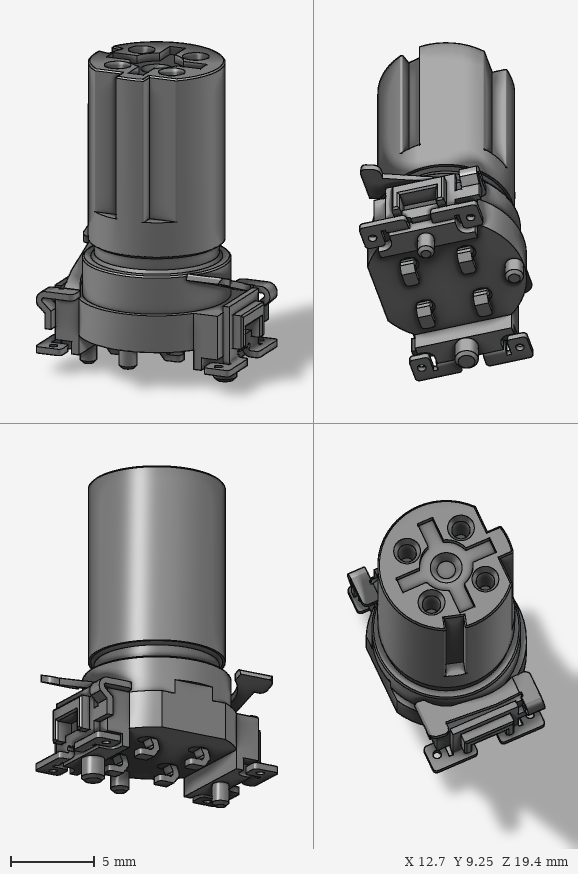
import cadquery as cq
import math

body_d = 8.2
neck_d = 7.5
ring_d = 8.9
base_d = 9.6
base_bottom = 1.2
base_top = 3.5
ring_top = 5.85
body_bottom = 6.95
body_top = 18.0
neck_chamfer = 0.2
rim_chamfer = 0.1
rear_flat_y = 4.25
rear_flat_top = 4.35

slot_bottom = 9.1
front_slot_floor = 3.12
key_rib_width = 1.85
slot_edge_radius = 0.12
side_slot_floor = 3.3
side_slot_width = 1.15
side_slot_angle = 163.7
slot_core_r = 3.8

recess_depth = 0.5
recess_arm_length = 6.15
recess_arm_width = 1.0
recess_hub_d = 3.2
funnel_depth = 0.43
center_funnel_d = 1.9
pin_funnel_d = 1.6
hole_d = 1.1
contact_offset = 1.77

block_inner = 3.75
block_outer = 5.3
block_length = 6.0
block_overlap = 1.0
corner_notch_x = 1.05
corner_notch_y = 0.95
corner_notch_z = 0.78
corner_notch_radius = 0.6
peg_tip = -1.35
peg_chamfer = 0.2
peg_offset = 4.47
small_peg_d = 1.0
large_peg_d = 1.4
front_peg_d = 1.1
front_peg_y = -4.23
latch_outer = 6.35
latch_width = 3.25
latch_bottom = 1.18
latch_top = 3.27
latch_gap_width = 2.26
latch_gap_top = 2.43
latch_chamfer = 0.12

sheet = 0.4
plate_inner = block_outer
plate_outer = plate_inner + sheet
plate_half_y = 2.15
plate_top = base_top + sheet
window_floor = 1.57
tongue_half_y = latch_gap_width / 2
foot_outer = 6.35
foot_inner = 4.65
foot_end = 3.65
foot_pad_start = 2.42
foot_gap_half = 0.75
foot_gap_top = 0.7
foot_relief_r = 0.15
foot_bend_r = 0.1
foot_corner_r = 0.25
foot_hole_d = 0.5
foot_hole_x = 5.4
foot_hole_y = 3.05
bend_outer = plate_outer + foot_bend_r
bend_top = sheet + foot_bend_r
strap_y = 2.57
strap_bottom = 1.58
strap_link_top = 2.4
strap_tip_x = 3.85
strap_knee_outer_z = 2.55
strap_knee_inner_z = 2.72
curl_end_x = 5.75
strap_corner_r = 0.35
arm_slope = math.radians(19.6)
arm_end_y = 3.74
arm_tip_r = 0.15
arm_inner_x = 4.47
arm_outer_x = 5.33
head_inner_x = 3.6
head_outer_x = 6.03
head_start_y = 2.45
head_flare_y = 1.7
root_slit = 0.25
root_slit_depth = 0.12
root_x = 4.94

contact_top = 15.0
contact_root_top = 3.0
contact_flat_width = 0.86
foot_clearance = 0.07


def box(x0, x1, y0, y1, z0, z1):
    size = (x1 - x0, y1 - y0, z1 - z0)
    return cq.Workplane("XY").box(*size, centered=False).translate((x0, y0, z0))


def cylinder(diameter, z0, z1, x=0, y=0):
    return cq.Workplane("XY").circle(diameter / 2).extrude(z1 - z0).translate((x, y, z0))


def cone(d_bottom, d_top, z0, z1, x=0, y=0):
    solid = cq.Solid.makeCone(d_bottom / 2, d_top / 2, z1 - z0, pnt=cq.Vector(x, y, z0))
    return cq.Workplane(obj=solid)


contact_places = [
    (sx * contact_offset, sy * contact_offset) for sx in (-1, 1) for sy in (-1, 1)
]


def housing_base():
    base = cylinder(base_d, base_bottom, base_top)
    ring = cylinder(ring_d, base_top, ring_top).faces(">Z").chamfer(rim_chamfer)
    flat = box(-base_d, base_d, rear_flat_y, base_d, base_bottom, rear_flat_top)
    return base.union(ring).cut(flat)


def housing_neck():
    flare_d = neck_d + 2 * neck_chamfer
    lower = cone(flare_d, neck_d, ring_top, ring_top + neck_chamfer)
    upper = cone(neck_d, flare_d, body_bottom - neck_chamfer, body_bottom)
    return cylinder(neck_d, base_top, body_bottom).union(lower).union(upper)


def housing_body():
    body = cylinder(body_d, body_bottom, body_top)
    front_slots = box(-body_d, body_d, -body_d, -front_slot_floor, slot_bottom, body_top)
    key_rib = box(
        -key_rib_width / 2, key_rib_width / 2, -body_d, -front_slot_floor, slot_bottom, body_top
    )
    side_slot = box(
        side_slot_floor, body_d, -side_slot_width / 2, side_slot_width / 2, slot_bottom, body_top
    ).rotate((0, 0, 0), (0, 0, 1), side_slot_angle)
    body = body.cut(front_slots.cut(key_rib)).cut(side_slot)
    slot_edges = [
        edge for edge in body.edges("|Z").vals()
        if math.hypot(edge.Center().x, edge.Center().y) > slot_core_r
        and edge.Center().z > slot_bottom
    ]
    body = body.newObject(slot_edges).fillet(slot_edge_radius)
    return body.faces(">Z").chamfer(rim_chamfer)


def face_recess():
    floor = body_top - recess_depth
    long_half = recess_arm_length / 2
    short_half = recess_arm_width / 2
    recess = box(-long_half, long_half, -short_half, short_half, floor, body_top)
    recess = recess.union(box(-short_half, short_half, -long_half, long_half, floor, body_top))
    recess = recess.union(cylinder(recess_hub_d, floor, body_top))
    return recess.union(cone(hole_d, center_funnel_d, floor - funnel_depth, floor))


def pin_hole(x, y):
    funnel = cone(hole_d, pin_funnel_d, body_top - funnel_depth, body_top, x, y)
    return cylinder(hole_d, base_bottom, body_top, x, y).union(funnel)


def side_block():
    """Block on the -X side with notched lower corners."""
    half = block_length / 2
    block = box(-block_outer, -block_inner + block_overlap, -half, half, base_bottom, base_top)
    block = block.union(box(-block_outer, -block_inner, -half, half, 0, base_bottom))
    for side in (-1, 1):
        notch = box(
            -block_outer - corner_notch_x, -block_outer + corner_notch_x,
            half - corner_notch_y, half + corner_notch_y, 0, corner_notch_z,
        )
        notch = notch.edges("|Z and >X and <Y").fillet(corner_notch_radius)
        if side < 0:
            notch = notch.mirror("XZ")
        block = block.cut(notch)
    return block


def latch():
    """U-shaped catch that reaches through the clip's window on the -X side."""
    half = latch_width / 2
    catch = box(-latch_outer, -block_outer, -half, half, latch_bottom, latch_top)
    gap = box(
        -latch_outer, -block_outer, -latch_gap_width / 2, latch_gap_width / 2,
        latch_bottom, latch_gap_top,
    )
    return catch.cut(gap).faces("<X").edges().chamfer(latch_chamfer)


def peg(diameter, tip, root, x, y):
    return cylinder(diameter, tip, root, x, y).faces("<Z").chamfer(peg_chamfer)


def turned(shape):
    return shape.rotate((0, 0, 0), (0, 0, 1), 180)


def make_housing():
    housing = housing_base().union(housing_neck()).union(housing_body())
    side = side_block().union(latch())
    housing = housing.union(side).union(turned(side))
    housing = housing.union(peg(small_peg_d, peg_tip, 0, -peg_offset, 0))
    housing = housing.union(peg(large_peg_d, peg_tip, 0, peg_offset, 0))
    housing = housing.union(peg(front_peg_d, 0, base_bottom, 0, front_peg_y))
    housing = housing.cut(face_recess())
    for x, y in contact_places:
        housing = housing.cut(pin_hole(x, y))
    return housing


def clip_plate():
    plate = box(-plate_outer, -plate_inner, -plate_half_y, plate_half_y, bend_top, plate_top)
    link = box(-plate_outer, -plate_inner, -foot_end, 0, strap_bottom, strap_link_top)
    half = latch_width / 2
    window = box(-plate_outer, -plate_inner, -half, half, latch_bottom, latch_top)
    tongue = box(
        -plate_outer, -plate_inner, -tongue_half_y, tongue_half_y, latch_bottom, window_floor
    )
    return plate.union(link).cut(window).union(tongue)


def clip_foot():
    """Foot on the +Y half: strip outside the plate, widening to a drilled pad."""
    strip = box(-foot_outer, -bend_outer, foot_gap_half, foot_end, 0, sheet)
    pad = box(-foot_outer, -foot_inner, foot_pad_start, foot_end, 0, sheet)
    foot = strip.union(pad).edges("|Z").edges("<X or >X").fillet(foot_corner_r)
    return foot.cut(cylinder(foot_hole_d, 0, sheet, -foot_hole_x, foot_hole_y))


def foot_bend():
    """Quarter bend that leads from the feet up into the plate."""
    outer_r = foot_bend_r + sheet
    axis = cq.Workplane("XZ", origin=(-bend_outer, plate_half_y, bend_top))
    bend = axis.circle(outer_r).circle(foot_bend_r).extrude(2 * plate_half_y)
    return bend.intersect(
        box(-bend_outer, -plate_inner, -plate_half_y, plate_half_y, 0, bend_top)
    )


def foot_gap():
    """Opening between the two feet with round reliefs in its upper corners."""
    gap = box(-foot_outer, -plate_inner, -foot_gap_half, foot_gap_half, 0, foot_gap_top)
    for side in (-1, 1):
        relief = (
            cq.Workplane("YZ")
            .center(side * foot_gap_half, foot_gap_top)
            .circle(foot_relief_r)
            .extrude(sheet)
            .translate((-plate_outer, 0, 0))
        )
        gap = gap.union(relief)
    return gap


def clip_strap():
    """Strap that curls from the plate's -Y end over the top of the block."""
    strap = (
        cq.Workplane("XZ", origin=(0, -strap_y, 0))
        .moveTo(-plate_outer, strap_bottom)
        .lineTo(-plate_outer, strap_knee_outer_z)
        .lineTo(-6.17, 2.98)
        .threePointArc((-6.2, 3.57), (-curl_end_x, plate_top))
        .lineTo(-strap_tip_x, plate_top)
        .lineTo(-strap_tip_x, base_top)
        .lineTo(-curl_end_x, base_top)
        .threePointArc((-5.89, 3.42), (-5.88, 3.26))
        .lineTo(-plate_inner, strap_knee_inner_z)
        .lineTo(-plate_inner, strap_bottom)
        .close()
        .extrude(foot_end - strap_y)
    )
    strap = strap.edges("|Z and >X and <Y").fillet(strap_corner_r)
    slit = box(
        -root_x - root_slit, -root_x, -strap_y - root_slit_depth, -strap_y, base_top, plate_top
    )
    return strap.cut(slit)


def arm_side_profile():
    """Straight arm that climbs towards +Y, square at its end."""
    rise = (arm_end_y + strap_y) * math.tan(arm_slope)
    tip_y = arm_end_y - sheet * math.sin(arm_slope)
    tip_z = base_top + rise + sheet * math.cos(arm_slope)
    root_y = -strap_y - sheet * math.tan(arm_slope / 2)
    arm = (
        cq.Workplane("YZ", origin=(-foot_outer, 0, 0))
        .polyline([
            (-strap_y, base_top),
            (arm_end_y, base_top + rise),
            (tip_y, tip_z),
            (root_y, plate_top),
        ])
        .close()
        .extrude(foot_outer)
    )
    return arm.edges("|X and >Z").fillet(arm_tip_r)


def arm_plan():
    """Outline from above: wide root, slim arm and a hammer-shaped head."""
    return (
        cq.Workplane("XY")
        .moveTo(-strap_tip_x, -strap_y)
        .threePointArc((-4.36, -1.3), (-arm_inner_x, 0))
        .lineTo(-arm_inner_x, head_flare_y)
        .threePointArc((-4.2, 2.4), (-head_inner_x, 3.1))
        .lineTo(-head_inner_x, arm_end_y)
        .lineTo(-5.62, arm_end_y)
        .threePointArc((-5.92, 3.57), (-head_outer_x, 3.2))
        .lineTo(-head_outer_x, 2.9)
        .threePointArc((-5.95, 2.6), (-5.7, head_start_y))
        .lineTo(-arm_outer_x, head_start_y)
        .lineTo(-5.2, -0.9)
        .lineTo(-root_x, -strap_y)
        .close()
        .extrude(body_top)
    )


def make_clip():
    foot = clip_foot()
    clip = clip_plate().union(foot_bend()).union(foot).union(foot.mirror("XZ"))
    clip = clip.cut(foot_gap())
    arm = arm_side_profile().intersect(arm_plan())
    return clip.union(clip_strap()).union(arm)


def make_contact(x, y):
    root = cylinder(hole_d, base_bottom, contact_root_top)
    half = contact_flat_width / 2
    pin = cylinder(hole_d, contact_root_top, contact_top)
    pin = pin.intersect(box(-hole_d, hole_d, -half, half, 0, contact_top))
    tail = (
        cq.Workplane("XZ", origin=(0, half, 0))
        .polyline([
            (-0.45, base_bottom),
            (-0.61, 0.8),
            (-0.61, 0.52),
            (-0.25, foot_clearance),
            (0.72, foot_clearance),
            (0.72, foot_clearance + sheet),
            (-0.07, foot_clearance + sheet),
            (-0.2, 0.62),
            (-0.2, 0.8),
            (0.02, base_bottom),
        ])
        .close()
        .extrude(contact_flat_width)
    )
    tail = tail.edges("|Z and >X").fillet(foot_corner_r)
    return root.union(pin).union(tail).translate((x, y, 0))


housing = make_housing()
clip = make_clip()
clips = [clip, turned(clip)]
contacts = [make_contact(x, y) for x, y in contact_places]

result = cq.Compound.makeCompound([body.solids().val() for body in [housing, *clips, *contacts]])